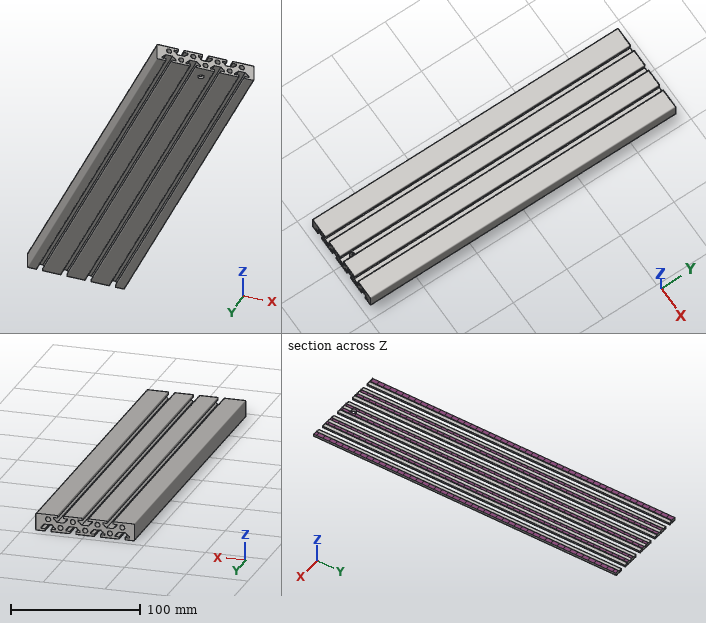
import cadquery as cq
import math

LENGTH = 285.0
WIDTH = 80.0
HEIGHT = 14.0
PITCH = WIDTH / 4
CORNER_RADIUS = 1.0

SLOT_OPENING = 4.8
SLOT_DEPTH = 5.7
SLOT_CAVITY_WIDTH = 11.5
SLOT_FLOOR_WIDTH = 5.5
LIP_RADIUS = 0.5
LIP_THICKNESS = 2.0
CAVITY_WALL = 0.9

CORE_DIAMETER = 4.0
CORE_DEPTH = 4.0
CORE_HEIGHT = HEIGHT / 2 - CORE_DEPTH

HOLE_DIAMETER = 4.5
HOLE_FROM_END = 10.0

TOP_SLOTS = [i * PITCH for i in (-1, 0, 1)]
BOTTOM_SLOTS = [i * PITCH for i in (-1.5, -0.5, 0.5, 1.5)]


def along_length(sketch):
    """Extrude a section drawn in XZ over the whole length, centred on Y = 0."""
    return sketch.extrude(LENGTH / 2, both=True)


def section():
    return cq.Workplane("XZ")


def panel():
    bar = along_length(section().rect(WIDTH, HEIGHT))
    return bar.edges("|Y").fillet(CORNER_RADIUS)


def slot(x, side):
    """T-slot centred at x, open to the top (side = 1) or the bottom (side = -1)."""
    half_opening = SLOT_OPENING / 2
    arc_inset = LIP_RADIUS * (1 - math.sqrt(0.5))

    def at(across, depth):
        return (x + across, side * (HEIGHT / 2 - depth))

    half_cavity = [
        (half_opening, LIP_THICKNESS),
        (SLOT_CAVITY_WIDTH / 2, LIP_THICKNESS),
        (SLOT_CAVITY_WIDTH / 2, LIP_THICKNESS + CAVITY_WALL),
        (SLOT_FLOOR_WIDTH / 2, SLOT_DEPTH),
    ]
    mirrored = [(-across, depth) for across, depth in reversed(half_cavity)]
    cavity = [at(across, depth) for across, depth in half_cavity + mirrored]
    outline = (
        section()
        .moveTo(*at(half_opening + LIP_RADIUS, 0))
        .threePointArc(at(half_opening + arc_inset, arc_inset), at(half_opening, LIP_RADIUS))
        .polyline(cavity, includeCurrent=True)
        .lineTo(*at(-half_opening, LIP_RADIUS))
        .threePointArc(at(-half_opening - arc_inset, arc_inset), at(-half_opening - LIP_RADIUS, 0))
        .close()
    )
    return along_length(outline)


def cores(positions, z):
    centres = [(x, z) for x in positions]
    return along_length(section().pushPoints(centres).circle(CORE_DIAMETER / 2))


def mounting_hole():
    """Vertical hole through the middle slot, near the -Y end."""
    hole_y = HOLE_FROM_END - LENGTH / 2
    hole = cq.Workplane("XY").center(0, hole_y).circle(HOLE_DIAMETER / 2)
    return hole.extrude(HEIGHT / 2, both=True)


result = panel()
for slot_x in TOP_SLOTS:
    result = result.cut(slot(slot_x, 1))
for slot_x in BOTTOM_SLOTS:
    result = result.cut(slot(slot_x, -1))
result = result.cut(cores(BOTTOM_SLOTS, CORE_HEIGHT))
result = result.cut(cores(TOP_SLOTS, -CORE_HEIGHT))
result = result.cut(mounting_hole())